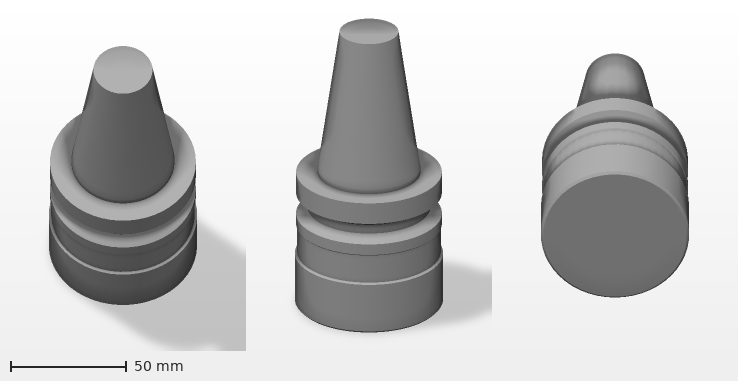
import cadquery as cq

TOTAL_HEIGHT = 129.4
NUT_TOP = 24.0
FLANGE_BOTTOM = 36.9
LOWER_FLANGE_TOP = 42.5
GROOVE_BOTTOM = 45.3
GROOVE_TOP = 49.4
UPPER_FLANGE_BOTTOM = 52.3
FLANGE_TOP = 62.1
TAPER_START = 64.0

NUT_DIAMETER = 64.0
BODY_DIAMETER = 62.0
FLANGE_DIAMETER = 63.0
GROOVE_DIAMETER = 53.0
GAUGE_DIAMETER = 44.5
TAPER_TIP_DIAMETER = 25.5

NOSE_CHAMFER = 1.0
NUT_SHOULDER_HEIGHT = 0.6
FLANGE_BEVEL_HEIGHT = 0.5

nut_radius = NUT_DIAMETER / 2
body_radius = BODY_DIAMETER / 2
flange_radius = FLANGE_DIAMETER / 2
groove_radius = GROOVE_DIAMETER / 2
gauge_radius = GAUGE_DIAMETER / 2
tip_radius = TAPER_TIP_DIAMETER / 2

profile = [
    (0, 0),
    (nut_radius - NOSE_CHAMFER, 0),
    (nut_radius, NOSE_CHAMFER),
    (nut_radius, NUT_TOP - NUT_SHOULDER_HEIGHT),
    (body_radius, NUT_TOP),
    (body_radius, FLANGE_BOTTOM),
    (flange_radius, FLANGE_BOTTOM + FLANGE_BEVEL_HEIGHT),
    (flange_radius, LOWER_FLANGE_TOP),
    (groove_radius, GROOVE_BOTTOM),
    (groove_radius, GROOVE_TOP),
    (flange_radius, UPPER_FLANGE_BOTTOM),
    (flange_radius, FLANGE_TOP),
    (gauge_radius, FLANGE_TOP),
    (gauge_radius, TAPER_START),
    (tip_radius, TOTAL_HEIGHT),
    (0, TOTAL_HEIGHT),
]

result = (
    cq.Workplane("XZ")
    .polyline(profile)
    .close()
    .revolve(360, (0, 0, 0), (0, 1, 0))
)